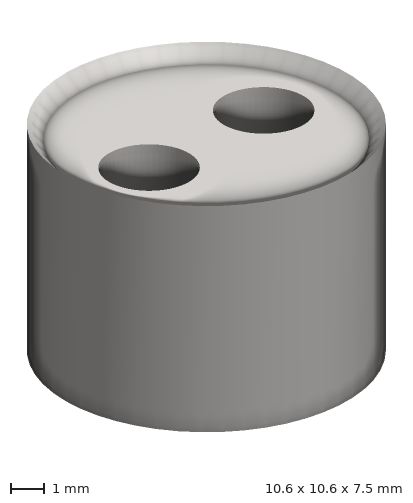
import cadquery as cq

body_diameter = 10.6
body_height = 7.5
hole_diameter = 3.0
hole_spacing = 5.0
recess_depth = 0.5
recess_floor_diameter = body_diameter - 2 * recess_depth

body = cq.Workplane("XY").circle(body_diameter / 2).extrude(body_height)

recess = (
    cq.Workplane("XY", origin=(0, 0, body_height - recess_depth))
    .circle(recess_floor_diameter / 2)
    .workplane(offset=recess_depth)
    .circle(body_diameter / 2)
    .loft()
)

holes = (
    cq.Workplane("XY")
    .pushPoints([(0, -hole_spacing / 2), (0, hole_spacing / 2)])
    .circle(hole_diameter / 2)
    .extrude(body_height)
)

result = body.cut(recess).cut(holes)